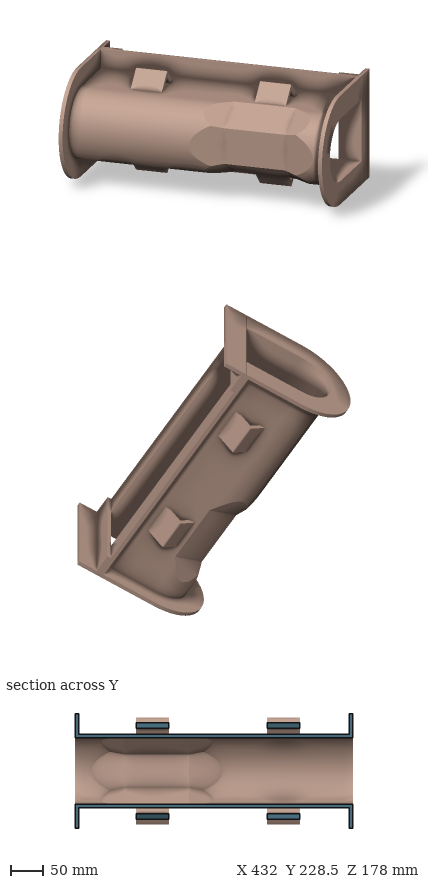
import cadquery as cq
import math


LENGTH = 432.0
WALL = 6.5
FLANGE_WIDTH = 38.0
RIM_RADIUS = 89.0
STRAIGHT_DEPTH = 101.5
HEIGHT = 2 * RIM_RADIUS
BORE_RADIUS = RIM_RADIUS - FLANGE_WIDTH
DUCT_RADIUS = BORE_RADIUS + WALL

DENT_START = 39.0
DENT_END = 138.5
DENT_FRONT_DISTANCE = 40.0
DENT_SIDE_DISTANCE = 45.5
DENT_SIDE_ANGLE = 60.0
DENT_RAMP_SLOPE = 1 / 3

ANGLE_LEG = 38.0
ANGLE_THICKNESS = WALL
HEEL_RADIUS = 2.37

DEFLECTOR_LENGTH = 51.0
DEFLECTOR_RIDGE_Y = -58.7
DEFLECTOR_RISE = ANGLE_LEG / math.sqrt(2)
DEFLECTOR_CENTRES_X = (-108.0, 95.5)


def d_outline_prism(radius, length):
    """Solid along X with a straight back at Y = 0 and a round front, centred on X = 0."""
    return (
        cq.Workplane("YZ")
        .moveTo(0, radius)
        .lineTo(-STRAIGHT_DEPTH, radius)
        .threePointArc((-STRAIGHT_DEPTH - radius, 0), (-STRAIGHT_DEPTH, -radius))
        .lineTo(0, -radius)
        .close()
        .extrude(length / 2, both=True)
    )


def dent_cutter(distance, tilt):
    """Material beyond one flat of the dent, with its end ramps, turned about the duct axis."""
    depth = RIM_RADIUS
    ramp = depth / DENT_RAMP_SLOPE
    return (
        cq.Workplane("XY")
        .polyline([
            (DENT_START, -distance),
            (DENT_END, -distance),
            (DENT_END + ramp, -distance - depth),
            (DENT_START - ramp, -distance - depth),
        ])
        .close()
        .extrude(HEIGHT, both=True)
        .rotate((0, 0, 0), (1, 0, 0), tilt)
        .translate((0, -STRAIGHT_DEPTH, 0))
    )


def dented_prism(radius, length, inset):
    """D-shaped solid whose front carries the dent, with every flat moved inward by the inset."""
    prism = d_outline_prism(radius, length)
    prism = prism.cut(dent_cutter(DENT_FRONT_DISTANCE - inset, 0))
    for tilt in (-DENT_SIDE_ANGLE, DENT_SIDE_ANGLE):
        prism = prism.cut(dent_cutter(DENT_SIDE_DISTANCE - inset, tilt))
    return prism


def make_housing():
    """Dented duct with a flange at each end and a frame along its back."""
    duct = dented_prism(DUCT_RADIUS, LENGTH - 2 * WALL, 0)
    frame = cq.Workplane("XY").box(LENGTH, WALL, HEIGHT).translate((0, -WALL / 2, 0))
    housing = duct.union(frame)
    for side in (-1, 1):
        flange = d_outline_prism(RIM_RADIUS, WALL).translate((side * (LENGTH - WALL) / 2, 0, 0))
        housing = housing.union(flange)
    return housing.cut(dented_prism(BORE_RADIUS, LENGTH, WALL))


def angle_stock(length):
    """Angle along Z with its legs along +X and +Y from the rounded heel at the origin."""
    return (
        cq.Workplane("XY")
        .polyline([
            (0, 0),
            (ANGLE_LEG, 0),
            (ANGLE_LEG, ANGLE_THICKNESS),
            (ANGLE_THICKNESS, ANGLE_THICKNESS),
            (ANGLE_THICKNESS, ANGLE_LEG),
            (0, ANGLE_LEG),
        ])
        .close()
        .extrude(length / 2, both=True)
        .edges(cq.NearestToPointSelector((0, 0, 0)))
        .fillet(HEEL_RADIUS)
    )


def make_bracket(side):
    """Full-height angle on the back of the frame, its heel flush with one end of the housing."""
    bracket = angle_stock(HEIGHT).translate((-LENGTH / 2, 0, 0))
    return bracket if side < 0 else bracket.mirror("YZ")


def make_deflector(centre_x, side):
    """Angle piece with its heel as a ridge and its toes trimmed flat on the duct, above or below."""
    ridge = angle_stock(DEFLECTOR_LENGTH).rotate((0, 0, 0), (0, 0, 1), 45)
    ridge = ridge.rotate((0, 0, 0), (0, 1, 0), 90).rotate((0, 0, 0), (1, 0, 0), -90)
    ridge = ridge.translate((centre_x, DEFLECTOR_RIDGE_Y, DUCT_RADIUS + DEFLECTOR_RISE))
    duct_space = cq.Workplane("XY").box(LENGTH, 2 * ANGLE_LEG, 2 * DUCT_RADIUS)
    deflector = ridge.cut(duct_space.translate((0, DEFLECTOR_RIDGE_Y, 0)))
    return deflector if side > 0 else deflector.mirror("XY")


housing = make_housing()
brackets = [make_bracket(side) for side in (-1, 1)]
deflectors = [make_deflector(x, side) for x in DEFLECTOR_CENTRES_X for side in (-1, 1)]

result = cq.Compound.makeCompound([
    housing.val(),
    *[bracket.val() for bracket in brackets],
    *[deflector.val() for deflector in deflectors],
])